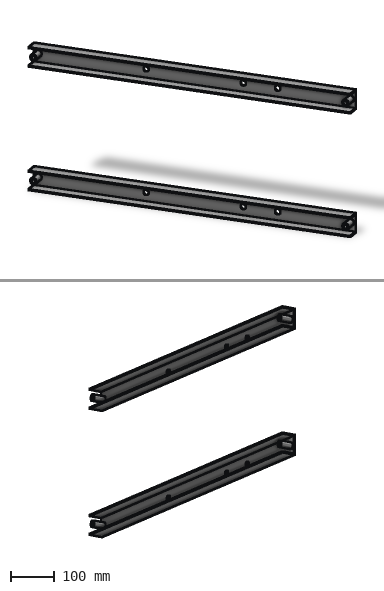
import cadquery as cq

length = 796.0
depth = 33.5
rail_height = 48.0
wall = 3.0
overall_height = 348.0
rail_pitch = overall_height - rail_height

tube_diameter = 16.0
bore_diameter = 9.5
tube_inset = 12.0
tube_positions = [tube_inset, length - tube_inset]

web_holes = [(278.0, 13.0), (518.0, 13.0), (603.0, 13.5)]


def cylinder_along_y(x, diameter):
    """Cylinder on the rail's mid-height, running over the full depth."""
    center = cq.Vector(x, 0, rail_height / 2)
    return cq.Workplane(cq.Solid.makeCylinder(diameter / 2, depth, center, cq.Vector(0, 1, 0)))


def make_channel():
    """U-shaped channel, open toward -Y, with its web on the +Y side."""
    outside = cq.Workplane().box(length, depth, rail_height, centered=False)
    inside = (
        cq.Workplane()
        .box(length, depth - wall, rail_height - 2 * wall, centered=False)
        .translate((0, 0, wall))
    )
    return outside.cut(inside)


def make_rail(bottom):
    """Channel with its two bored spacer tubes and web holes, resting at height bottom."""
    rail = make_channel()
    for x in tube_positions:
        rail = rail.union(cylinder_along_y(x, tube_diameter))
    for x in tube_positions:
        rail = rail.cut(cylinder_along_y(x, bore_diameter))
    for x, diameter in web_holes:
        rail = rail.cut(cylinder_along_y(x, diameter))
    return rail.translate((0, 0, bottom))


rails = [make_rail(bottom) for bottom in (0, rail_pitch)]

result = cq.Compound.makeCompound([rail.val() for rail in rails])